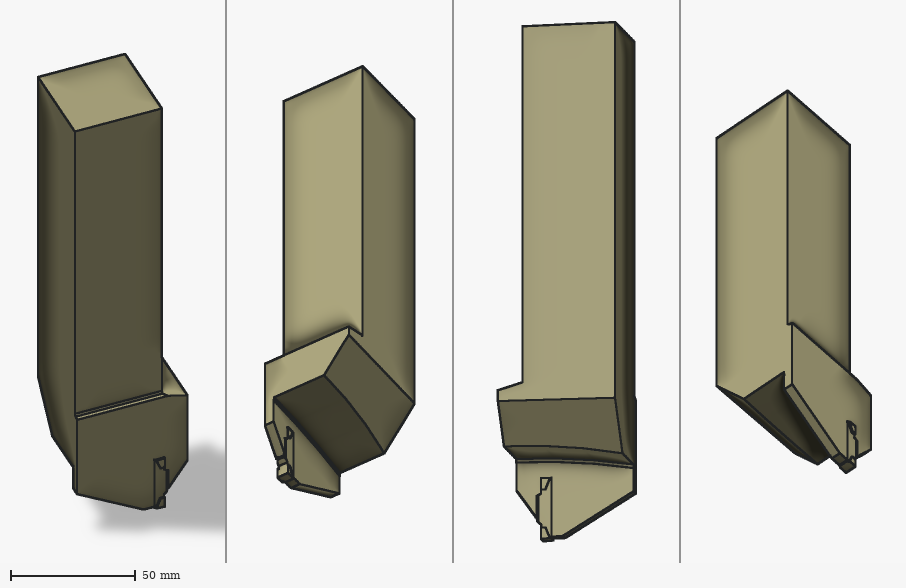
import cadquery as cq
import math

overall_height = 203.2
shank_width = 38.0
shank_depth = 38.0
head_depth = 48.2

shoulder_z = 56.7
shoulder_edge_z = 53.8
shoulder_slope = (shoulder_z - shoulder_edge_z) / (head_depth - shank_depth)
side_shoulder_x = 38.8
side_shoulder_rise = 0.8

blade_back_x = 36.2
blade_face_x = 40.5
blade_base_z = 0.8
blade_base_y = 29.0
blade_front_z = 17.9
blade_rear_z = 20.3

arch_front_z = 28.9
arch_rise = 4.5
arch_radius = (head_depth**2 + arch_rise**2) / (2 * arch_rise)
arch_top_z = arch_front_z + arch_rise
lip_height = 1.5
lip_width = 0.2
bevel_top_z = 48.5
bevel_end_x = 14.6
bevel_top_rise = 0.8
bevel_tilt = math.degrees(math.atan(bevel_top_rise / head_depth))

insert_back_y = 33.7
insert_edge_y = 38.0
insert_clamp_y = 39.8
insert_top_z = 25.0
insert_end_rise = 0.2
clamp_bottom_z = 7.7
clamp_top_z = 17.7
clamp_shoulder_z = 18.7
clamp_foot_z = 5.9
clamp_bevel = 0.8
tip_length = 4.7
tip_root_y = 36.2
tip_point_y = 34.3
tip_overhang_back = 0.2
tip_overhang_face = 0.6

margin = 10.2


def extrude_along_x(points, start_x, end_x):
    """Extrude a closed (Y, Z) outline between two X positions."""
    outline = cq.Workplane("YZ", origin=(start_x, 0, 0)).polyline(points).close()
    return outline.extrude(end_x - start_x)


def extrude_along_y(points):
    """Extrude a closed (X, Z) outline across the head, with a margin at both ends."""
    outline = cq.Workplane("XZ", origin=(0, head_depth + margin, 0)).polyline(points).close()
    return outline.extrude(head_depth + 2 * margin)


def make_shank_and_head():
    """Full-width side outline trimmed by the shoulder on the blade-face side."""
    side = extrude_along_x(
        [
            (blade_base_y, blade_base_z),
            (0, blade_front_z),
            (0, overall_height),
            (shank_depth, overall_height),
            (shank_depth, shoulder_z),
            (head_depth, shoulder_edge_z),
            (head_depth, blade_rear_z),
            (insert_edge_y, clamp_foot_z),
            (insert_edge_y, blade_base_z),
        ],
        0,
        blade_face_x,
    )
    side_edge_z = shoulder_z - shoulder_slope * (blade_face_x - side_shoulder_x)
    shoulder_relief = extrude_along_y(
        [
            (shank_width, overall_height + margin),
            (shank_width, shoulder_z + side_shoulder_rise),
            (side_shoulder_x, shoulder_z),
            (blade_face_x, side_edge_z),
            (blade_face_x + margin, side_edge_z),
            (blade_face_x + margin, overall_height + margin),
        ]
    )
    return side.cut(shoulder_relief)


def make_arch_cutter(end_x, lowering):
    """Space below an arch whose crown is at the rear of the head."""
    crown_z = arch_top_z - lowering
    half_angle = math.asin(head_depth / arch_radius) / 2
    middle_y = head_depth - arch_radius * math.sin(half_angle)
    middle_z = crown_z - arch_radius * (1 - math.cos(half_angle))
    outline = (
        cq.Workplane("YZ", origin=(-margin, 0, 0))
        .moveTo(0, -margin)
        .lineTo(0, crown_z - arch_rise)
        .threePointArc((middle_y, middle_z), (head_depth, crown_z))
        .lineTo(head_depth, -margin)
        .close()
    )
    return outline.extrude(end_x + margin)


def make_bevel_cutter():
    """Wedge under the back corner, rising slightly toward the rear."""
    slope = (bevel_top_z - arch_front_z) / bevel_end_x
    low_x = bevel_end_x + margin
    low_z = arch_front_z - slope * margin
    wedge = extrude_along_y(
        [
            (-margin, bevel_top_z + slope * margin),
            (-margin, low_z),
            (low_x, low_z),
        ]
    )
    return wedge.rotate((0, 0, bevel_top_z), (1, 0, bevel_top_z), bevel_tilt)


def make_insert_pocket():
    """Through slot for the insert, open at the bottom."""
    return extrude_along_x(
        [
            (insert_back_y, -margin),
            (insert_back_y, insert_top_z),
            (insert_edge_y, insert_top_z),
            (insert_edge_y, clamp_shoulder_z),
            (insert_clamp_y, clamp_top_z),
            (insert_clamp_y, -margin),
        ],
        blade_back_x - margin,
        blade_face_x + margin,
    )


def make_holder():
    holder = make_shank_and_head()
    holder = holder.cut(make_arch_cutter(blade_back_x - lip_width, 0))
    holder = holder.cut(make_arch_cutter(blade_back_x, lip_height))
    holder = holder.cut(make_bevel_cutter())
    return holder.cut(make_insert_pocket())


def make_insert_tip(edge_z, direction):
    """Wide cutting end; direction is the Z sense from its edge toward the insert middle."""
    root_z = edge_z + direction * tip_length
    end_slope = insert_end_rise / (insert_edge_y - insert_back_y)
    point_z = edge_z + direction * end_slope * (insert_edge_y - tip_point_y)
    return extrude_along_x(
        [
            (insert_edge_y, edge_z),
            (tip_point_y, point_z),
            (tip_root_y, root_z),
            (insert_edge_y, root_z),
        ],
        blade_back_x - tip_overhang_back,
        blade_face_x + tip_overhang_face,
    )


def make_insert():
    body = extrude_along_x(
        [
            (insert_back_y, insert_end_rise),
            (insert_back_y, insert_top_z - insert_end_rise),
            (insert_edge_y, insert_top_z),
            (insert_edge_y, clamp_shoulder_z),
            (insert_clamp_y, clamp_top_z),
            (insert_clamp_y, clamp_bottom_z),
            (insert_edge_y, clamp_foot_z),
            (insert_edge_y, 0),
        ],
        blade_back_x,
        blade_face_x,
    )
    body = body.faces(">Y").edges("|Z").chamfer(clamp_bevel)
    for edge_z, direction in ((0, 1), (insert_top_z, -1)):
        body = body.union(make_insert_tip(edge_z, direction))
    return body


holder = make_holder()
insert = make_insert()
result = cq.Compound.makeCompound([holder.val(), insert.val()])